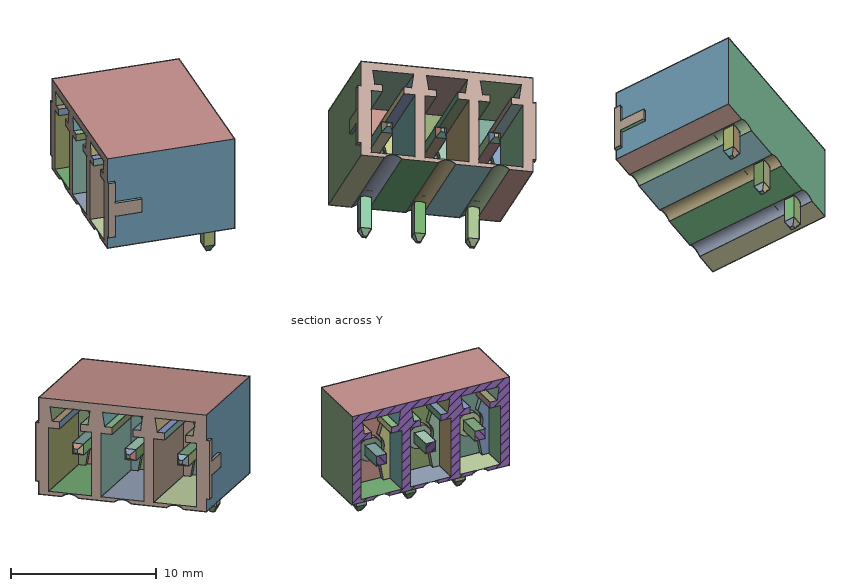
import cadquery as cq
import math

total_width = 12.62
body_width = 12.17
body_depth = 9.2
body_height = 6.98

pole_pitch = 3.81
pole_positions = [-pole_pitch, 0.0, pole_pitch]
pin_axis_z = 2.98

key_bar_depth = 0.49
key_bar_height = 4.23
key_stem_depth = 2.41
key_stem_height = 1.02
key_axis_z = 3.04

chamber_width = 3.1
chamber_floor_z = 0.29
chamber_top_z = 4.87
chamber_depth = 6.31

neck_width = 1.51
neck_top_z = 5.38
dovetail_lower_width = 2.6
dovetail_upper_width = 2.9
dovetail_top_z = 6.39

recess_depth = 0.38
recess_end_width = 2.07
waist_width = 1.41
waist_diameter = 2.21
boss_diameter = 1.8

groove_diameter = 1.8
groove_height = 0.24

pin_size = 0.8
pin_tip_size = 0.28
pin_taper = 0.5
pin_front_y = 1.21
pin_leg_y = 7.99
pin_bottom_z = -2.62

recess_end_y = chamber_depth + recess_depth


def extrude_along_y(profile, start_y, end_y):
    """Extrude a closed XZ profile from start_y back to end_y."""
    return profile.extrude(start_y - end_y).translate((0, start_y, 0))


def chamber():
    """Rectangular plug opening of one pole."""
    height = chamber_top_z - chamber_floor_z
    opening = cq.Workplane("XY").box(chamber_width, chamber_depth, height, centered=(True, False, False))
    return opening.translate((0, 0, chamber_floor_z))


def dovetail_slot():
    """Neck and dovetail above the chamber, as deep as the back recess."""
    neck = neck_width / 2
    lower = dovetail_lower_width / 2
    upper = dovetail_upper_width / 2
    profile = (
        cq.Workplane("XZ")
        .moveTo(-neck, chamber_top_z)
        .lineTo(neck, chamber_top_z)
        .lineTo(neck, neck_top_z)
        .lineTo(lower, neck_top_z)
        .lineTo(upper, dovetail_top_z)
        .lineTo(-upper, dovetail_top_z)
        .lineTo(-lower, neck_top_z)
        .lineTo(-neck, neck_top_z)
        .close()
    )
    return extrude_along_y(profile, 0, recess_end_y)


def waisted_recess():
    """Recess behind the chamber: two tapering ends meeting bulging round sides, less the boss."""
    end = recess_end_width / 2
    waist = waist_width / 2
    bulge = waist_diameter / 2
    waist_offset = math.sqrt(bulge**2 - waist**2)
    profile = (
        cq.Workplane("XZ")
        .moveTo(-end, chamber_floor_z)
        .lineTo(end, chamber_floor_z)
        .lineTo(waist, pin_axis_z - waist_offset)
        .threePointArc((bulge, pin_axis_z), (waist, pin_axis_z + waist_offset))
        .lineTo(end, chamber_top_z)
        .lineTo(-end, chamber_top_z)
        .lineTo(-waist, pin_axis_z + waist_offset)
        .threePointArc((-bulge, pin_axis_z), (-waist, pin_axis_z - waist_offset))
        .close()
    )
    boss_profile = cq.Workplane("XZ").center(0, pin_axis_z).circle(boss_diameter / 2)
    recess = extrude_along_y(profile, chamber_depth, recess_end_y)
    return recess.cut(extrude_along_y(boss_profile, chamber_depth, recess_end_y))


def underside_groove():
    """Cylinder whose top dips into the underside over the full depth."""
    radius = groove_diameter / 2
    profile = cq.Workplane("XZ").center(0, groove_height - radius).circle(radius)
    return extrude_along_y(profile, 0, body_depth)


def tapered_tip():
    """Square frustum with its base on Z = 0, narrowing downwards."""
    return (
        cq.Workplane("XY")
        .rect(pin_size, pin_size)
        .workplane(offset=-pin_taper)
        .rect(pin_tip_size, pin_tip_size)
        .loft(ruled=True)
    )


def bent_pin(x):
    """One right-angle pin: a contact pointing forward and a solder leg pointing down."""
    half = pin_size / 2
    contact_start_y = pin_front_y + pin_taper
    leg_start_z = pin_bottom_z + pin_taper
    profile = (
        cq.Workplane("YZ")
        .moveTo(contact_start_y, pin_axis_z - half)
        .lineTo(contact_start_y, pin_axis_z + half)
        .lineTo(pin_leg_y + half, pin_axis_z + half)
        .lineTo(pin_leg_y + half, leg_start_z)
        .lineTo(pin_leg_y - half, leg_start_z)
        .lineTo(pin_leg_y - half, pin_axis_z - half)
        .close()
    )
    shank = profile.extrude(half, both=True)
    leg_tip = tapered_tip().translate((0, pin_leg_y, leg_start_z))
    contact_tip = tapered_tip().rotate((0, 0, 0), (1, 0, 0), -90).translate((0, contact_start_y, pin_axis_z))
    return shank.union(leg_tip).union(contact_tip).translate((x, 0, 0))


def side_keys():
    """T-shaped ridges on both sides, made as plates that run through the body."""
    bar = cq.Workplane("XY").box(total_width, key_bar_depth, key_bar_height, centered=(True, False, True))
    stem = cq.Workplane("XY").box(total_width, key_stem_depth, key_stem_height, centered=(True, False, True))
    return bar.union(stem).translate((0, 0, key_axis_z))


def make_housing(pins):
    """Housing block with its side keys, pole openings, grooves and pin holes."""
    block = cq.Workplane("XY").box(body_width, body_depth, body_height, centered=(True, False, False))
    body = block.union(side_keys())
    for x in pole_positions:
        for cutter in (chamber(), dovetail_slot(), waisted_recess(), underside_groove()):
            body = body.cut(cutter.translate((x, 0, 0)))
    for pin in pins:
        body = body.cut(pin)
    return body


pins = [bent_pin(x) for x in pole_positions]
housing = make_housing(pins)

result = cq.Compound.makeCompound([housing.val(), *[pin.val() for pin in pins]])